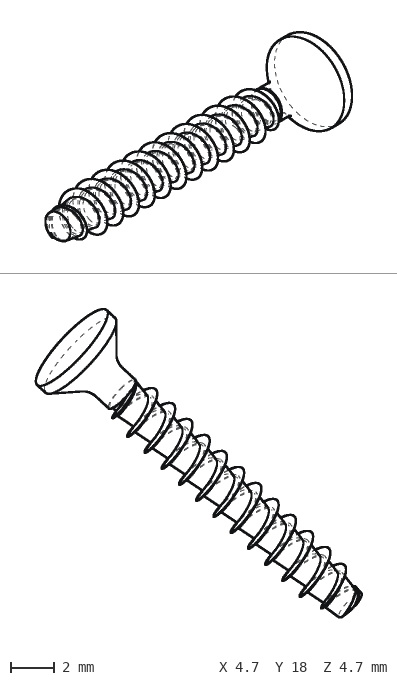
import cadquery as cq
import math


screw_length = 18.0
head_radius = 4.7 / 2
rim_height = 0.55
countersink_angle = 45
neck_fillet = 1.0
shank_radius = 0.9
shank_end = 3.25
core_radius = 0.68

pitch = 1.12
crest_radius = 2.54 / 2
crest_width = 0.02
root_width = 0.27
root_radius = 0.65
tip_end_crest = 0.8
head_end_crest = 0.81

relief_thick_radius = 0.88
relief_thin_radius = 0.74
relief_tip_thick_radius = 0.72
relief_tip_thin_radius = 0.7
relief_top = -0.1
relief_bottom = -1.03
relief_extra_turns = 1

ridge_start = 17.7
tip_runout_turns = 1.25
full_turns = 10.5
head_runout_turns = 2.25
start_angle = 180


def turned_body():
    """Head, countersink, filleted neck, shank and core."""
    half_angle = math.radians(countersink_angle / 2)
    tangent_length = neck_fillet * math.tan(half_angle)
    cone_height = (head_radius - shank_radius) / math.tan(2 * half_angle)
    neck_corner = -rim_height - cone_height
    fillet_end = neck_corner - tangent_length
    fillet_start = (
        shank_radius + tangent_length * math.sin(2 * half_angle),
        neck_corner + tangent_length * math.cos(2 * half_angle),
    )
    fillet_middle = (
        shank_radius + neck_fillet * (1 - math.cos(half_angle)),
        fillet_end + neck_fillet * math.sin(half_angle),
    )
    return (
        cq.Workplane("XZ")
        .lineTo(head_radius, 0)
        .lineTo(head_radius, -rim_height)
        .lineTo(*fillet_start)
        .threePointArc(fillet_middle, (shank_radius, fillet_end))
        .lineTo(shank_radius, -shank_end)
        .lineTo(core_radius, -shank_end)
        .lineTo(core_radius, -screw_length)
        .lineTo(0, -screw_length)
        .close()
        .revolve(360, (0, 0, 0), (0, 1, 0))
    )


def thread_envelope():
    """Space the thread may fill, from the shank to the tip."""
    length = screw_length - shank_end
    return cq.Workplane("XY").workplane(offset=-screw_length).circle(head_radius).extrude(length)


def ridge_profile(crest):
    """Corners (radius, height) of the ridge for one crest radius."""
    return [
        (root_radius, root_width / 2),
        (crest, crest_width / 2),
        (crest, -crest_width / 2),
        (root_radius, -root_width / 2),
    ]


def helix_edge(start_radius, end_radius, base, turns):
    """Rising helix whose radius changes evenly from start_radius to end_radius."""
    rise = turns * pitch
    center = cq.Vector(0, 0, base)
    if start_radius == end_radius:
        return cq.Wire.makeHelix(pitch, rise, start_radius, center).Edges()[0]
    slope = math.atan2(end_radius - start_radius, rise)
    slant = 1 / math.cos(slope)
    up = cq.Vector(0, 0, 1)
    helix = cq.Wire.makeHelix(pitch * slant, rise * slant, start_radius, center, up, math.degrees(slope))
    return helix.Edges()[0]


def helical_bar(start_profile, end_profile, base, first_turn, turns):
    """Solid that changes evenly from one profile to the other along the helix through base."""
    height = base + first_turn * pitch
    edges = [
        helix_edge(start[0], end[0], height + start[1], turns)
        for start, end in zip(start_profile, end_profile)
    ]
    sides = [
        cq.Face.makeRuledSurface(edge, neighbour)
        for edge, neighbour in zip(edges, edges[1:] + edges[:1])
    ]
    caps = []
    for end in (0, 1):
        corners = [edge.positionAt(end) for edge in edges]
        caps.append(cq.Face.makeFromWires(cq.Wire.makePolygon(corners, close=True)))
    bar = cq.Solid.makeSolid(cq.Shell.makeShell(sides + caps))
    angle = start_angle + 360 * first_turn
    return cq.Workplane(obj=bar).rotate((0, 0, 0), (0, 0, 1), angle)


def ridge():
    """Stretches of ridge: fading in at the tip, full height, sinking into the shank."""
    tip = ridge_profile(tip_end_crest)
    full = ridge_profile(crest_radius)
    head = ridge_profile(head_end_crest)
    full_start = tip_runout_turns
    full_end = full_start + full_turns
    return [
        helical_bar(tip, full, -ridge_start, 0, tip_runout_turns),
        helical_bar(full, full, -ridge_start, full_start, full_turns),
        helical_bar(full, head, -ridge_start, full_end, head_runout_turns),
    ]


def relief_profile(thick, thin):
    """Corners (radius, height) of the sloped core between two turns."""
    return [
        (root_radius, relief_top),
        (thick, relief_top),
        (thin, relief_bottom),
        (root_radius, relief_bottom),
    ]


def relief():
    """Sloped core, thinned over the tip runout and the extra turns that lead past the tip."""
    tip = relief_profile(relief_tip_thick_radius, relief_tip_thin_radius)
    full = relief_profile(relief_thick_radius, relief_thin_radius)
    full_length = full_turns + head_runout_turns
    thinned_turns = relief_extra_turns + tip_runout_turns
    return [
        helical_bar(tip, full, -ridge_start, -relief_extra_turns, thinned_turns),
        helical_bar(full, full, -ridge_start, tip_runout_turns, full_length),
    ]


envelope = thread_envelope()
screw = turned_body()
for bar in relief() + ridge():
    screw = screw.union(bar.intersect(envelope), clean=False)

result = screw.solids().rotate((0, 0, 0), (1, 0, 0), -90)